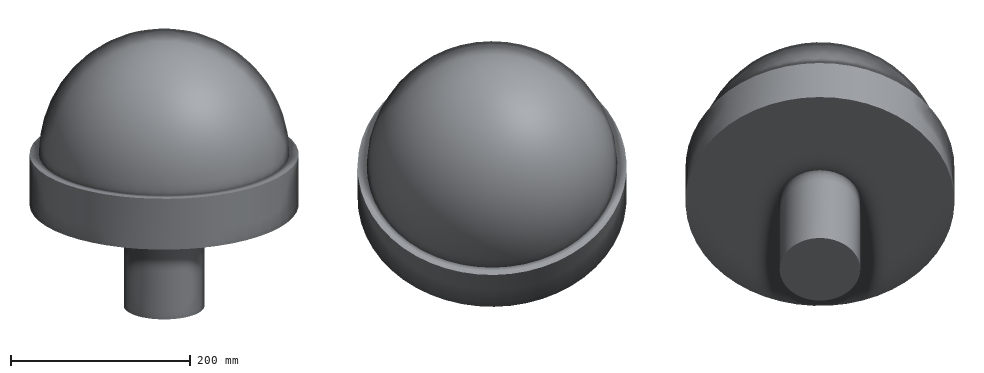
import cadquery as cq

TOTAL_HEIGHT = 320.0
BASE_DIAMETER = 300.0
STEM_DIAMETER = 90.0
STEM_LENGTH = 120.0
DOME_RADIUS = 140.0

BASE_BOTTOM = STEM_LENGTH
BASE_TOP = TOTAL_HEIGHT - DOME_RADIUS


def make_cylinder(diameter, bottom, top):
    """Upright solid cylinder on the Z axis between two levels."""
    return cq.Workplane("XY").workplane(offset=bottom).circle(diameter / 2).extrude(top - bottom)


def make_stem():
    """Round stem that meets the underside of the base."""
    return make_cylinder(STEM_DIAMETER, 0, BASE_BOTTOM)


def make_base():
    """Round base disc, slightly wider than the dome."""
    return make_cylinder(BASE_DIAMETER, BASE_BOTTOM, BASE_TOP)


def make_dome():
    """Hemisphere with its flat face on top of the base."""
    hemisphere = cq.Workplane("XY").sphere(DOME_RADIUS, angle1=0, angle2=90)
    return hemisphere.translate((0, 0, BASE_TOP))


stem = make_stem()
base = make_base()
dome = make_dome()

result = cq.Compound.makeCompound([stem.val(), base.val(), dome.val()])